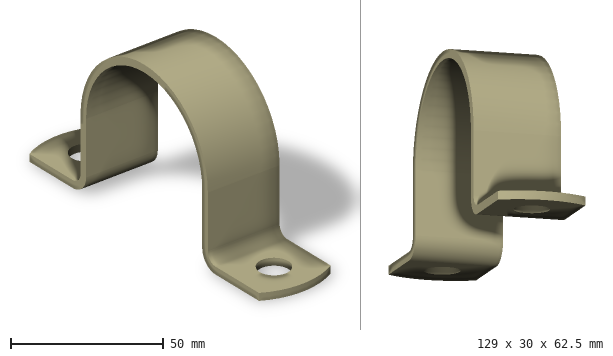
import cadquery as cq
import math

length = 129.0
width = 30.0
height = 62.5
thickness = 3.0
saddle_radius = 33.5
bend_radius = 4.0
end_radius = width
hole_diameter = 12.0
hole_spacing = 99.0

half_length = length / 2
inner_radius = saddle_radius - thickness
arch_center_z = height - saddle_radius
outer_bend_radius = bend_radius + thickness
bend_center_x = saddle_radius + bend_radius
bend_center_z = thickness + bend_radius
diagonal = math.sqrt(0.5)


def bend_middle(side, radius):
    """Middle point of a foot bend; side is -1 for left, 1 for right."""
    x = side * (bend_center_x - radius * diagonal)
    return (x, bend_center_z - radius * diagonal)


def make_strap():
    """Bent strip: two feet, two legs and a half-round arch."""
    profile = (
        cq.Workplane("XZ")
        .moveTo(-half_length, 0)
        .lineTo(-bend_center_x, 0)
        .threePointArc(bend_middle(-1, outer_bend_radius), (-inner_radius, bend_center_z))
        .lineTo(-inner_radius, arch_center_z)
        .threePointArc((0, height - thickness), (inner_radius, arch_center_z))
        .lineTo(inner_radius, bend_center_z)
        .threePointArc(bend_middle(1, outer_bend_radius), (bend_center_x, 0))
        .lineTo(half_length, 0)
        .lineTo(half_length, thickness)
        .lineTo(bend_center_x, thickness)
        .threePointArc(bend_middle(1, bend_radius), (saddle_radius, bend_center_z))
        .lineTo(saddle_radius, arch_center_z)
        .threePointArc((0, height), (-saddle_radius, arch_center_z))
        .lineTo(-saddle_radius, bend_center_z)
        .threePointArc(bend_middle(-1, bend_radius), (-bend_center_x, thickness))
        .lineTo(-half_length, thickness)
        .close()
    )
    return profile.extrude(width / 2, both=True)


def make_plan_envelope():
    """Plan outline with bowed ends, tall enough to trim the whole strap."""
    end_depth = end_radius - math.sqrt(end_radius**2 - (width / 2) ** 2)
    corner_x = half_length - end_depth
    return (
        cq.Workplane("XY")
        .moveTo(-corner_x, -width / 2)
        .lineTo(corner_x, -width / 2)
        .threePointArc((half_length, 0), (corner_x, width / 2))
        .lineTo(-corner_x, width / 2)
        .threePointArc((-half_length, 0), (-corner_x, -width / 2))
        .close()
        .extrude(height)
    )


def make_foot_holes():
    """One fixing hole through each foot."""
    return (
        cq.Workplane("XY")
        .pushPoints([(side * hole_spacing / 2, 0) for side in (-1, 1)])
        .circle(hole_diameter / 2)
        .extrude(thickness)
    )


result = make_strap().intersect(make_plan_envelope()).cut(make_foot_holes())